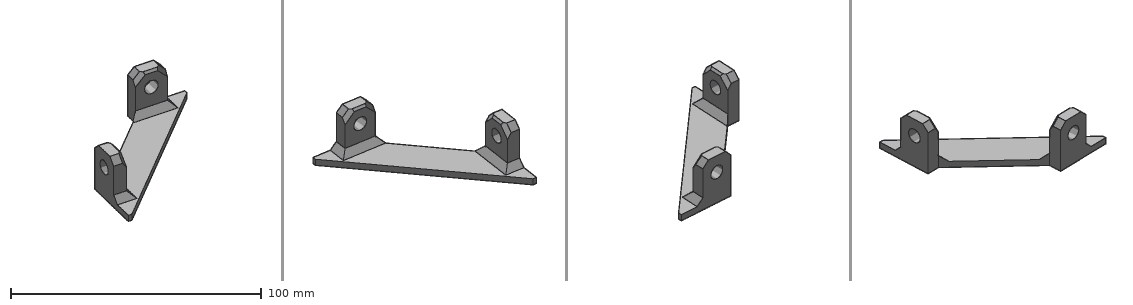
import cadquery as cq

overall_length = 64.0
overall_height = 23.0
plate_thickness = 3.0
tip_width = 1.7

lug_thickness = 6.0
lug_width = 15.0
lug_center = 45.0
lug_corner_cut = 3.0
gusset_size = 3.0

hole_diameter = 6.3
hole_height = 15.0
inner_face_apothem = 7.0

lug_start = lug_center - lug_width / 2
lug_end = lug_center + lug_width / 2
shoulder_height = overall_height - lug_corner_cut
gusset_top = plate_thickness + gusset_size


def diagonal_prism(height):
    """Diagonal strip footprint, with both pointed tips cut blunt."""
    return (
        cq.Workplane("XY")
        .moveTo(lug_start, 0)
        .lineTo(overall_length, 0)
        .lineTo(overall_length, tip_width)
        .lineTo(tip_width, overall_length)
        .lineTo(0, overall_length)
        .lineTo(0, lug_start)
        .lineTo(lug_thickness, lug_start)
        .lineTo(lug_start, lug_thickness)
        .close()
        .extrude(height)
    )


def lug_blank():
    """Upright lug against the Y = 0 face, with bevelled upper corners."""
    return (
        cq.Workplane("XZ")
        .moveTo(lug_start, 0)
        .lineTo(lug_end, 0)
        .lineTo(lug_end, shoulder_height)
        .lineTo(lug_end - lug_corner_cut, overall_height)
        .lineTo(lug_start + lug_corner_cut, overall_height)
        .lineTo(lug_start, shoulder_height)
        .close()
        .extrude(-lug_thickness)
    )


def edge_bevel(angle):
    """Wedge that cuts a 45 degree bevel on one edge of the lug's inner face.

    The angle, in degrees about the hole axis, is zero for the top edge.
    """
    wedge_size = lug_thickness
    wedge = (
        cq.Workplane("YZ")
        .moveTo(lug_thickness, hole_height + inner_face_apothem)
        .lineTo(lug_thickness, hole_height + inner_face_apothem + wedge_size)
        .lineTo(lug_thickness - wedge_size, hole_height + inner_face_apothem + wedge_size)
        .close()
        .extrude(lug_width, both=True)
        .translate((lug_center, 0, 0))
    )
    axis_start = (lug_center, 0, hole_height)
    axis_end = (lug_center, 1, hole_height)
    return wedge.rotate(axis_start, axis_end, angle)


def lug():
    """Lug with its three inner top edges bevelled."""
    body = lug_blank()
    for angle in (-45, 0, 45):
        body = body.cut(edge_bevel(angle))
    return body


def gusset():
    """Sloped skirt around the foot of the lug, trimmed to the strip footprint."""
    skirt = cq.Workplane("XY").box(
        lug_end + gusset_size,
        lug_thickness + gusset_size,
        gusset_top,
        centered=False,
    )
    sloped_edges = "(>X and >Z) or (>Y and >Z)"
    return skirt.edges(sloped_edges).chamfer(gusset_size).intersect(diagonal_prism(gusset_top))


def lug_hole():
    """Cylinder that pierces the lug along Y."""
    return (
        cq.Workplane("XZ")
        .center(lug_center, hole_height)
        .circle(hole_diameter / 2)
        .extrude(-lug_thickness)
    )


def mounting_end():
    """One complete lug with its gusset and hole."""
    return lug().union(gusset()).cut(lug_hole())


def swap_x_and_y(body):
    """Mirror a body across the vertical plane X = Y."""
    return body.mirror("XZ").rotate((0, 0, 0), (0, 0, 1), 90)


first_end = mounting_end()
second_end = swap_x_and_y(first_end)
result = diagonal_prism(plate_thickness).union(first_end).union(second_end).clean()